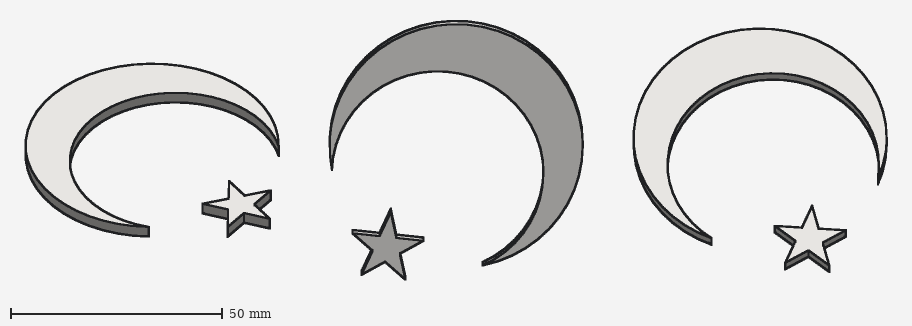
import cadquery as cq
import math

overall_length = 68.8
thickness = 3.0
outer_radius = 30.0
inner_radius = 25.05
inner_offset = 8.0

star_points = 5
star_rotation = math.radians(9)
star_center_x = outer_radius
star_tip_radius = (overall_length - 2 * outer_radius) / math.cos(star_rotation)
star_notch_radius = star_tip_radius * math.cos(math.radians(72)) / math.cos(math.radians(36))


def make_crescent():
    """Flat crescent bounded by two arcs that meet in sharp horns."""
    horn_x = (outer_radius**2 - inner_radius**2 + inner_offset**2) / (2 * inner_offset)
    horn_y = math.sqrt(outer_radius**2 - horn_x**2)
    return (
        cq.Workplane("XY")
        .moveTo(horn_x, horn_y)
        .threePointArc((-outer_radius, 0), (horn_x, -horn_y))
        .threePointArc((inner_offset - inner_radius, 0), (horn_x, horn_y))
        .close()
        .extrude(thickness)
    )


def make_star():
    """Flat five-pointed star, with tips and notches alternating around its centre."""
    corners = []
    for index in range(2 * star_points):
        radius = star_tip_radius if index % 2 == 0 else star_notch_radius
        angle = star_rotation + index * math.pi / star_points
        corners.append((star_center_x + radius * math.cos(angle), radius * math.sin(angle)))
    return cq.Workplane("XY").polyline(corners).close().extrude(thickness)


crescent = make_crescent()
star = make_star()

result = cq.Compound.makeCompound([crescent.val(), star.val()])